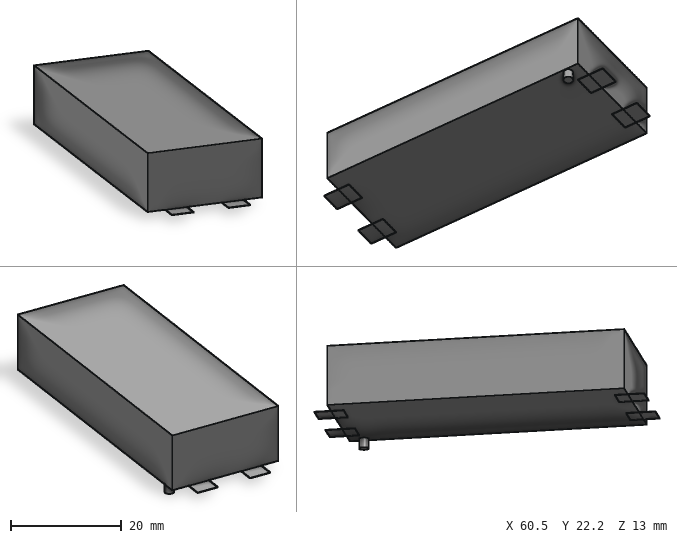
import cadquery as cq

overall_length = 60.5
overall_height = 13.0
housing_width = 22.25
pin_diameter = 1.75
pin_length = 1.8
pin_end_inset = 2.8
pin_side_inset = 1.0
tab_overhang = 3.0
tab_length = 5.4
tab_width = 4.25
tab_thickness = 0.1
tab_pitch = 11.0

housing_length = overall_length - 2 * tab_overhang
housing_height = overall_height - pin_length
tab_center_x = (overall_length - tab_length) / 2
pin_x = -housing_length / 2 + pin_end_inset
pin_y = housing_width / 2 - pin_side_inset


def make_housing():
    """Plain block standing on the Z = 0 plane."""
    return cq.Workplane("XY").box(
        housing_length, housing_width, housing_height, centered=(True, True, False)
    )


def make_tab(x, y):
    """Flat terminal tab, centred at (x, y), with its top against the underside of the housing."""
    return cq.Workplane("XY").center(x, y).rect(tab_length, tab_width).extrude(-tab_thickness)


def make_pin():
    """Round pin hanging from one corner of the underside."""
    return cq.Workplane("XY").center(pin_x, pin_y).circle(pin_diameter / 2).extrude(-pin_length)


housing = make_housing()
pin = make_pin()

tabs = []
for end in (-1, 1):
    for side in (-1, 1):
        tabs.append(make_tab(end * tab_center_x, side * tab_pitch / 2))

result = cq.Compound.makeCompound([housing.val(), pin.val(), *[tab.val() for tab in tabs]])